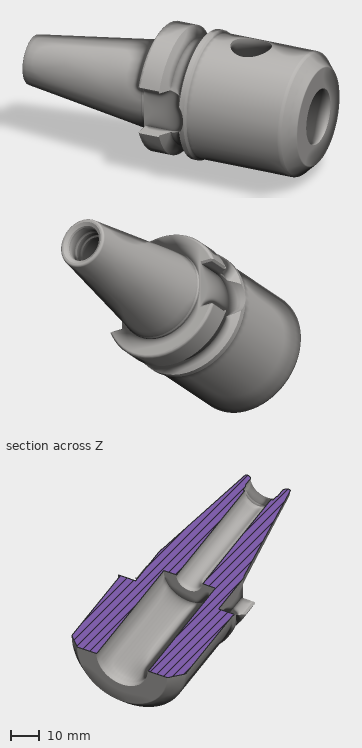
import cadquery as cq
import math

length = 108.7

taper_ratio = 7 / 24
gauge_diameter = 31.9
taper_length = 48.5
shoulder_start = 49.0
shoulder_radius = 16.2
gauge_radius = gauge_diameter / 2
tip_radius = gauge_radius - taper_length * taper_ratio / 2
tip_fillet = 0.8

flange_start = 49.8
flange_radius = 23.0
flange_fillet = 1.0
groove_radius = 19.1
groove_start = 58.0
groove_floor_start = 60.5
groove_floor_end = 64.0
groove_end = 66.1
collar_end = 68.0
collar_chamfer_end = 68.8

body_radius = 44.5 / 2
nose_radius = 17.6
nose_start = length - (body_radius - nose_radius)
nose_fillet = 1.6
nose_edge_fillet = 0.5

slot_half_width = 8.0
slot_floor = 16.26
slot_tip = 67.9
slot_chamfer = 0.71

through_radius = 10.1 / 2
mouth_radius = 7.7
lip_radius = 13 / 2
lip_depth = 0.8
recess_radius = 12.5 / 2
recess_start = 1.4
recess_end = 5.1
step_start = 5.8
step_radius = 5.9
step_end = 7.7
socket_radius = 20.0 / 2
socket_depth = 50.0
screw_hole_radius = 14.4 / 2
screw_hole_x = 83.2


def revolve_profile(points):
    """Revolve a closed (x, radius) outline about the X axis."""
    return cq.Workplane("XY").polyline(points).close().revolve(360, (0, 0, 0), (1, 0, 0))


def round_edge(solid, x, radius, fillet):
    """Fillet the circular edge at this axial position and radius."""
    circles = [
        edge
        for edge in solid.edges("%CIRCLE").vals()
        if math.isclose(edge.Center().x, x, abs_tol=0.001)
        and math.isclose(edge.radius(), radius, abs_tol=0.001)
    ]
    return solid.newObject(circles).fillet(fillet)


def holder_body():
    """Turned outside with its rounded edges."""
    body = revolve_profile([
        (0, 0),
        (0, tip_radius),
        (taper_length, gauge_radius),
        (shoulder_start, shoulder_radius),
        (flange_start, shoulder_radius),
        (flange_start, flange_radius),
        (groove_start, flange_radius),
        (groove_floor_start, groove_radius),
        (groove_floor_end, groove_radius),
        (groove_end, flange_radius),
        (collar_end, flange_radius),
        (collar_chamfer_end, body_radius),
        (nose_start, body_radius),
        (length, nose_radius),
        (length, 0),
    ])
    body = round_edge(body, 0, tip_radius, tip_fillet)
    body = round_edge(body, flange_start, flange_radius, flange_fillet)
    body = round_edge(body, nose_start, body_radius, nose_fillet)
    return round_edge(body, length, nose_radius, nose_edge_fillet)


def axial_bores():
    """Stepped recess at the taper end, through hole and tool socket."""
    return revolve_profile([
        (0, 0),
        (0, mouth_radius),
        (lip_depth, lip_radius),
        (recess_start, recess_radius),
        (recess_end, recess_radius),
        (step_start, step_radius),
        (step_end, step_radius),
        (step_end, through_radius),
        (length - socket_depth, through_radius),
        (length - socket_depth, socket_radius),
        (length, socket_radius),
        (length, 0),
    ])


def screw_hole():
    """Radial hole from the +Z side that opens into the socket."""
    return cq.Workplane("XY").center(screw_hole_x, 0).circle(screw_hole_radius).extrude(length)


def drive_slot():
    """Round-ended slot on the -Y side, with chamfered flange edges."""
    depth = flange_radius - slot_floor
    arc_center = slot_tip - slot_half_width
    wide = slot_half_width + slot_chamfer
    chamfer_end = flange_start + slot_chamfer
    rim = math.sqrt(flange_radius**2 - wide**2)
    rim_floor = rim - slot_chamfer
    slot = (
        cq.Workplane("XZ", origin=(0, -slot_floor, 0))
        .moveTo(flange_start, -slot_half_width)
        .lineTo(arc_center, -slot_half_width)
        .threePointArc((slot_tip, 0), (arc_center, slot_half_width))
        .lineTo(flange_start, slot_half_width)
        .close()
        .extrude(depth)
    )
    front_chamfer = (
        cq.Workplane("XZ", origin=(0, -slot_floor, 0))
        .polyline([
            (flange_start, -wide),
            (chamfer_end, -slot_half_width),
            (chamfer_end, slot_half_width),
            (flange_start, wide),
        ])
        .close()
        .extrude(depth)
    )
    rim_chamfer = (
        cq.Workplane("YZ", origin=(flange_start, 0, 0))
        .polyline([
            (-rim_floor, -slot_half_width),
            (-rim, -wide),
            (-flange_radius, -wide),
            (-flange_radius, wide),
            (-rim, wide),
            (-rim_floor, slot_half_width),
        ])
        .close()
        .extrude(groove_start - flange_start)
    )
    return slot.union(front_chamfer).union(rim_chamfer)


slot = drive_slot()
result = holder_body().cut(axial_bores()).cut(screw_hole())
result = result.cut(slot).cut(slot.mirror("XZ"))